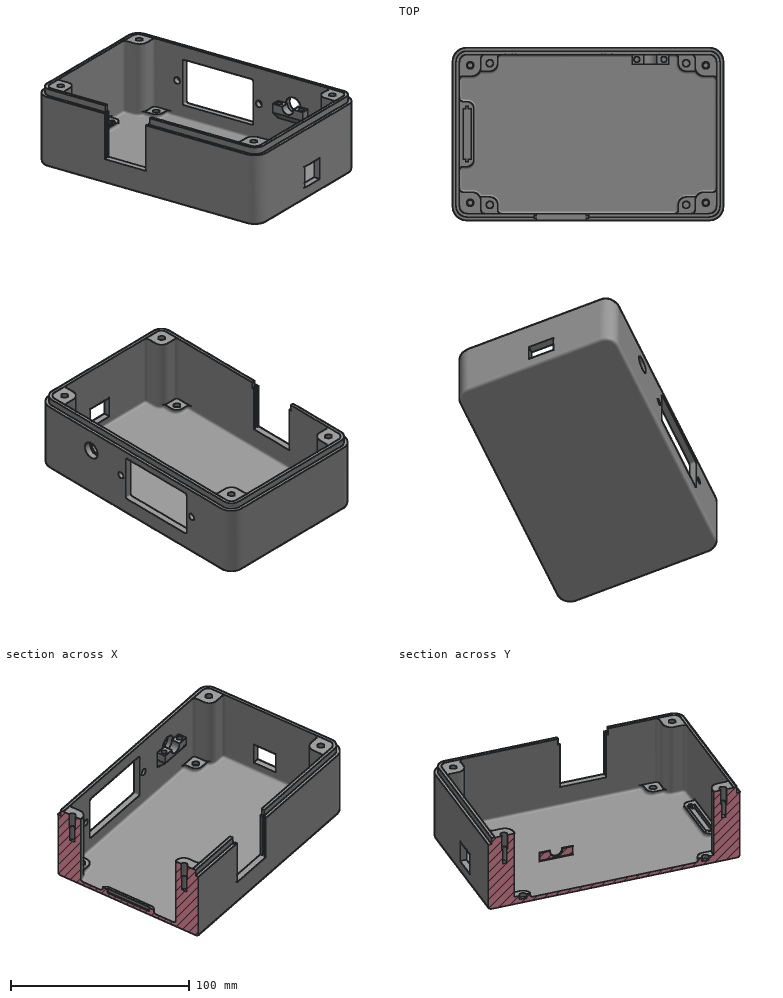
import cadquery as cq

LENGTH = 152.0
WIDTH = 97.0
HEIGHT = 47.0
CORNER_RADIUS = 8.0
BOTTOM_FILLET = 2.0
WALL = 4.0
FLOOR = 2.7
UPRIGHT_FILLET = 2.0
FLOOR_FILLET = 1.5

LIP_THICKNESS = WALL / 2
LIP_HEIGHT = 4.0
RIM_Z = HEIGHT - LIP_HEIGHT
LIP_RADIUS = CORNER_RADIUS - LIP_THICKNESS
CAVITY_RADIUS = CORNER_RADIUS - WALL

INNER_X = LENGTH / 2 - WALL
INNER_Y = WIDTH / 2 - WALL

POST_SIZE = 12.0
POST_EDGE_X = INNER_X - POST_SIZE
POST_EDGE_Y = INNER_Y - POST_SIZE
POST_RADIUS = 5.0
LIP_STEP = 0.08
POST_TOP_Z = HEIGHT - LIP_STEP
POST_HOLE_X = INNER_X - POST_SIZE / 2
POST_HOLE_Y = INNER_Y - POST_SIZE / 2
POST_HOLE_DIAMETER = 3.2
POST_HOLE_DEPTH = 18.2
POST_BORE_DIAMETER = 4.0
POST_BORE_DEPTH = 9.1

BOSS_HEIGHT = 2.5
STEP_Z = FLOOR + BOSS_HEIGHT
BOSS_RADIUS = 4.4
BOSS_X = 55.0
BOSS_Y = 39.7
BOSS_EDGE_X = BOSS_X - BOSS_RADIUS
BOSS_EDGE_Y = BOSS_Y - BOSS_RADIUS
BOSS_HOLE_DIAMETER = 4.0

PAD_DEPTH = 8.0
PAD_LENGTH = 36.5
PAD_RADIUS = 4.0
POCKET_WIDTH = 4.5
POCKET_LENGTH = 28.3
POCKET_X = -67.8
POCKET_KEY_WIDTH = 1.4
POCKET_KEY_LENGTH = 31.0

NOTCH_CENTRE_X = -14.9
NOTCH_WIDTH = 28.0
NOTCH_BOTTOM_Z = 15.0
GROOVE_DEPTH = 1.2
GROOVE_WIDTH = 1.5
GROOVE_OUTER_SKIN = 1.2
LIP_GAP_WIDTH = NOTCH_WIDTH + 2 * GROOVE_DEPTH

WINDOW_CENTRE_X = -16.4
WINDOW_WIDTH = 48.0
WINDOW_BOTTOM_Z = 11.0
WINDOW_HEIGHT = 28.0
WINDOW_FILLET = 1.0
WINDOW_HOLE_SPACING = 56.0
WINDOW_HOLE_DIAMETER = 4.0

SOCKET_CENTRE_Y = 4.4
SOCKET_WIDTH = 15.0
SOCKET_BOTTOM_Z = 7.6
SOCKET_HEIGHT = 12.9

CLAMP_CENTRE_X = 35.0
CLAMP_WIDTH = 20.4
CLAMP_DEPTH = 5.3
CLAMP_TOP_Z = 30.4
CLAMP_BOTTOM_Z = 25.1
CLAMP_HOLE_SPACING = 15.2
CLAMP_HOLE_DIAMETER = 3.2
CLAMP_HOLE_DEPTH = 4.5
CABLE_AXIS_Z = 30.0
SADDLE_DIAMETER = 7.3
CABLE_HOLE_DIAMETER = 10.0

CORNERS = [(1, 1), (-1, 1), (-1, -1), (1, -1)]


def block(x_min, x_max, y_min, y_max, z_min, z_max):
    """Box between the given limits."""
    size = (x_max - x_min, y_max - y_min, z_max - z_min)
    return cq.Workplane().box(*size, centered=False).translate((x_min, y_min, z_min))


def rounded_block(length, width, radius, z_min, z_max):
    """Box centred on the Z axis with rounded vertical edges."""
    return (
        block(-length / 2, length / 2, -width / 2, width / 2, z_min, z_max)
        .edges("|Z")
        .fillet(radius)
    )


def cylinder_down(x, y, z_top, diameter, depth):
    """Vertical cylinder hanging down from z_top."""
    return cq.Workplane().circle(diameter / 2).extrude(-depth).translate((x, y, z_top))


def cylinder_along_y(x, z, diameter, y_min, y_max):
    """Horizontal cylinder between two Y planes."""
    outline = cq.Workplane("XZ", origin=(x, y_min, z)).circle(diameter / 2)
    return outline.extrude(y_min - y_max)


def corner_pillar(sign_x, sign_y, x_edge, y_edge, radius, z_top):
    """Pillar from the outer corner to the given inner edges, with its free corner rounded."""
    pillar = block(x_edge, LENGTH / 2 + WALL, y_edge, WIDTH / 2 + WALL, 0, z_top)
    pillar = pillar.edges("|Z and <X and <Y").fillet(radius)
    if sign_x < 0:
        pillar = pillar.mirror("YZ")
    if sign_y < 0:
        pillar = pillar.mirror("XZ")
    return pillar


def sharp_vertical_edges(hollow):
    """Upright edges where posts, bosses and pad meet the walls or each other."""
    post_z = HEIGHT / 2
    low_z = FLOOR + BOSS_HEIGHT / 2
    points = [(-INNER_X, side * PAD_LENGTH / 2, low_z) for side in (-1, 1)]
    for sign_x, sign_y in CORNERS:
        points += [
            (sign_x * INNER_X, sign_y * POST_EDGE_Y, post_z),
            (sign_x * POST_EDGE_X, sign_y * INNER_Y, post_z),
            (sign_x * BOSS_EDGE_X, sign_y * INNER_Y, low_z),
            (sign_x * POST_EDGE_X, sign_y * BOSS_EDGE_Y, low_z),
        ]
    upright = hollow.edges("|Z")
    return [upright.edges(cq.NearestToPointSelector(point)).val() for point in points]


def interior():
    """Hollow of the housing: the cavity less posts, bosses and pad, its concave edges rounded."""
    hollow = rounded_block(2 * INNER_X, 2 * INNER_Y, CAVITY_RADIUS, FLOOR, HEIGHT)
    for sign_x, sign_y in CORNERS:
        post = corner_pillar(sign_x, sign_y, POST_EDGE_X, POST_EDGE_Y, POST_RADIUS, HEIGHT)
        boss = corner_pillar(sign_x, sign_y, BOSS_EDGE_X, BOSS_EDGE_Y, BOSS_RADIUS, STEP_Z)
        hollow = hollow.cut(post).cut(boss)
    pad = block(-LENGTH / 2, PAD_DEPTH - INNER_X, -PAD_LENGTH / 2, PAD_LENGTH / 2, 0, STEP_Z)
    hollow = hollow.cut(pad.edges("|Z and >X").fillet(PAD_RADIUS))
    hollow = hollow.newObject(sharp_vertical_edges(hollow)).fillet(UPRIGHT_FILLET)
    return hollow.faces("<Z").edges().fillet(FLOOR_FILLET)


def shell():
    """Hollowed box whose rim steps in to a lip, with the post tops just below the lip."""
    outer = rounded_block(LENGTH, WIDTH, CORNER_RADIUS, 0, RIM_Z)
    outer = outer.faces("<Z").edges().fillet(BOTTOM_FILLET)
    lip_length = LENGTH - 2 * LIP_THICKNESS
    lip_width = WIDTH - 2 * LIP_THICKNESS
    lip = rounded_block(lip_length, lip_width, LIP_RADIUS, FLOOR, HEIGHT)
    post_clearance = rounded_block(2 * INNER_X, 2 * INNER_Y, CAVITY_RADIUS, POST_TOP_Z, HEIGHT)
    return outer.union(lip).cut(interior()).cut(post_clearance)


def corner_holes():
    """Counterbored post holes and plain boss holes in all four corners."""
    holes = cq.Workplane()
    for sign_x, sign_y in CORNERS:
        post = (sign_x * POST_HOLE_X, sign_y * POST_HOLE_Y, POST_TOP_Z)
        holes = holes.add(cylinder_down(*post, POST_HOLE_DIAMETER, POST_HOLE_DEPTH))
        holes = holes.add(cylinder_down(*post, POST_BORE_DIAMETER, POST_BORE_DEPTH))
        boss = (sign_x * BOSS_X, sign_y * BOSS_Y, STEP_Z)
        holes = holes.add(cylinder_down(*boss, BOSS_HOLE_DIAMETER, BOSS_HEIGHT))
    return holes.combine()


def pad_pocket():
    """Slot in the pad with a narrow key at each end, down to the floor."""
    slot = cq.Workplane().rect(POCKET_WIDTH, POCKET_LENGTH).extrude(BOSS_HEIGHT)
    keys = cq.Workplane().rect(POCKET_KEY_WIDTH, POCKET_KEY_LENGTH).extrude(BOSS_HEIGHT)
    return slot.union(keys).translate((POCKET_X, 0, FLOOR))


def front_notch():
    """Open-topped notch through the front wall with a groove in each side."""
    half = NOTCH_WIDTH / 2
    notch = block(-half, half, -WIDTH / 2, -INNER_Y, NOTCH_BOTTOM_Z, RIM_Z)
    groove_y = GROOVE_OUTER_SKIN - WIDTH / 2
    half_groove = half + GROOVE_DEPTH
    grooves = block(
        -half_groove, half_groove, groove_y, groove_y + GROOVE_WIDTH, NOTCH_BOTTOM_Z, RIM_Z
    )
    half_gap = LIP_GAP_WIDTH / 2
    lip_gap = block(-half_gap, half_gap, -WIDTH / 2, -INNER_Y, RIM_Z, HEIGHT)
    return notch.union(grooves).union(lip_gap).translate((NOTCH_CENTRE_X, 0, 0))


def back_window():
    """Rectangular window through the back wall with a screw hole on each side."""
    half = WINDOW_WIDTH / 2
    top_z = WINDOW_BOTTOM_Z + WINDOW_HEIGHT
    cutter = block(-half, half, INNER_Y, WIDTH / 2, WINDOW_BOTTOM_Z, top_z)
    cutter = cutter.edges("|Y").fillet(WINDOW_FILLET)
    centre_z = WINDOW_BOTTOM_Z + WINDOW_HEIGHT / 2
    for side in (-1, 1):
        hole_x = side * WINDOW_HOLE_SPACING / 2
        hole = cylinder_along_y(hole_x, centre_z, WINDOW_HOLE_DIAMETER, INNER_Y, WIDTH / 2)
        cutter = cutter.union(hole)
    return cutter.translate((WINDOW_CENTRE_X, 0, 0))


def socket_opening():
    """Rectangular opening through the +X wall."""
    half = SOCKET_WIDTH / 2
    top_z = SOCKET_BOTTOM_Z + SOCKET_HEIGHT
    cutter = block(INNER_X, LENGTH / 2, -half, half, SOCKET_BOTTOM_Z, top_z)
    return cutter.translate((0, SOCKET_CENTRE_Y, 0))


def cable_clamp():
    """Block on the back wall with a U-shaped saddle and two screw holes."""
    front_y = INNER_Y - CLAMP_DEPTH
    half = CLAMP_WIDTH / 2
    clamp = block(-half, half, front_y, INNER_Y, CLAMP_BOTTOM_Z, CLAMP_TOP_Z)
    clamp = clamp.cut(cylinder_along_y(0, CABLE_AXIS_Z, SADDLE_DIAMETER, front_y, INNER_Y))
    saddle_half = SADDLE_DIAMETER / 2
    clamp = clamp.cut(block(-saddle_half, saddle_half, front_y, INNER_Y, CABLE_AXIS_Z, CLAMP_TOP_Z))
    for side in (-1, 1):
        hole = (side * CLAMP_HOLE_SPACING / 2, front_y + CLAMP_DEPTH / 2, CLAMP_TOP_Z)
        clamp = clamp.cut(cylinder_down(*hole, CLAMP_HOLE_DIAMETER, CLAMP_HOLE_DEPTH))
    return clamp.translate((CLAMP_CENTRE_X, 0, 0))


def build_housing():
    """Open box with posts, bosses, pad, wall openings and cable clamp."""
    housing = shell().cut(corner_holes()).cut(pad_pocket())
    housing = housing.cut(front_notch()).cut(back_window()).cut(socket_opening())
    cable_hole = cylinder_along_y(
        CLAMP_CENTRE_X, CABLE_AXIS_Z, CABLE_HOLE_DIAMETER, INNER_Y, WIDTH / 2
    )
    return housing.cut(cable_hole).union(cable_clamp())


def build_clamp_support():
    """Triangular wedge under the clamp block, against the back wall."""
    profile = [
        (INNER_Y, CLAMP_BOTTOM_Z),
        (INNER_Y - CLAMP_DEPTH, CLAMP_BOTTOM_Z),
        (INNER_Y, CLAMP_BOTTOM_Z - CLAMP_DEPTH),
    ]
    wedge = cq.Workplane("YZ").polyline(profile).close().extrude(CLAMP_WIDTH / 2, both=True)
    return wedge.translate((CLAMP_CENTRE_X, 0, 0))


housing = build_housing()
clamp_support = build_clamp_support()
result = cq.Compound.makeCompound([housing.val(), clamp_support.val()])